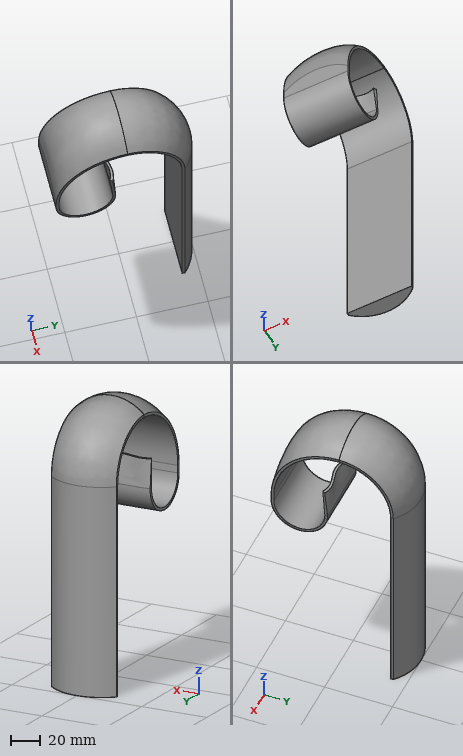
import cadquery as cq
import math

width = 50.0
half_width = width / 2
diagonal_factor = math.sqrt(0.5)
edge_thickness = 2.0
crown_height = 10.0
leg_height = 150.0
bend_radius = 50.0
edge_radius = bend_radius - crown_height
inner_radius = edge_radius - edge_thickness

front_inner_radius = bend_radius - edge_thickness
front_center_z = leg_height - crown_height
curl_radius = 20.8
curl_center_y = curl_radius - bend_radius
curl_center_z = 134.5
curl_end_y = curl_center_y + curl_radius

lip_height = 20.8
lip_edge_setback = 2.0
lip_crest_setback = 0.2
lip_middle_setback = 3.2
lip_crest_x = 18.0
lip_end_inset = 1.2


def crowned_section(inner_y):
    """Strap section on XY: flat inside, straight edges and an arched outside."""
    edge_y = inner_y + edge_thickness
    return (
        cq.Workplane("XY", origin=(0, 0, leg_height))
        .moveTo(-half_width, inner_y)
        .lineTo(half_width, inner_y)
        .lineTo(half_width, edge_y)
        .threePointArc((0, edge_y + crown_height), (-half_width, edge_y))
        .close()
    )


def make_leg():
    """Straight crowned leg with a quarter bend at its top."""
    straight = crowned_section(inner_radius).extrude(-leg_height)
    bend = crowned_section(inner_radius).revolve(90, (0, 0, 0), (1, 0, 0))
    return straight.union(bend)


def make_arch():
    """Crowned quarter arch that thins to a flat strip at the front."""
    diagonal = bend_radius * diagonal_factor
    path = (
        cq.Workplane("YZ")
        .moveTo(0, leg_height + bend_radius)
        .threePointArc((-diagonal, leg_height + diagonal), (-bend_radius, leg_height))
    )
    edge_top_z = leg_height + edge_radius
    block = (
        cq.Workplane("XZ")
        .moveTo(-half_width, edge_top_z)
        .threePointArc((0, edge_top_z + crown_height), (half_width, edge_top_z))
        .lineTo(half_width, curl_center_z)
        .lineTo(-half_width, curl_center_z)
        .close()
        .sweep(path, normal=(0, 1, 0))
    )
    inner_diagonal = front_inner_radius * diagonal_factor
    lowest_z = curl_center_z - bend_radius
    hollow = (
        cq.Workplane("YZ", origin=(-half_width, 0, 0))
        .moveTo(0, front_center_z + front_inner_radius)
        .threePointArc(
            (-inner_diagonal, front_center_z + inner_diagonal),
            (-front_inner_radius, front_center_z),
        )
        .lineTo(-front_inner_radius, lowest_z)
        .lineTo(0, lowest_z)
        .close()
        .extrude(width)
    )
    below_arch = cq.Workplane("XY", origin=(0, 0, lowest_z)).box(
        width, 2 * bend_radius, curl_center_z - lowest_z, centered=(True, True, False)
    )
    return block.cut(hollow).cut(below_arch)


def make_curl():
    """Half-round flat strip that curls back up inside the hook."""
    curl_inner_radius = curl_radius - edge_thickness
    return (
        cq.Workplane("YZ", origin=(-half_width, curl_center_y, curl_center_z))
        .moveTo(-curl_radius, 0)
        .threePointArc((0, -curl_radius), (curl_radius, 0))
        .lineTo(curl_inner_radius, 0)
        .threePointArc((0, -curl_inner_radius), (-curl_inner_radius, 0))
        .close()
        .extrude(width)
    )


def lip_section(z, edge_setback, crest_setback, middle_setback, end_inset):
    """Closed wire across the strap with the given setbacks from the curl end."""

    def long_side(offset, inset):
        profile = [
            (inset - half_width, edge_setback),
            (-lip_crest_x, crest_setback),
            (0, middle_setback),
            (lip_crest_x, crest_setback),
            (half_width - inset, edge_setback),
        ]
        points = [cq.Vector(x, curl_end_y - setback - offset, z) for x, setback in profile]
        return cq.Edge.makeSpline(points)

    outside = long_side(0, 0)
    inside = long_side(edge_thickness, end_inset)
    left_end = cq.Edge.makeLine(outside.startPoint(), inside.startPoint())
    right_end = cq.Edge.makeLine(outside.endPoint(), inside.endPoint())
    return cq.Wire.assembleEdges([outside, right_end, inside, left_end])


def make_lip():
    """Lip that changes from the straight curl end to a wavy free edge."""
    straight_end = lip_section(curl_center_z, 0, 0, 0, 0)
    wavy_end = lip_section(
        curl_center_z + lip_height,
        lip_edge_setback,
        lip_crest_setback,
        lip_middle_setback,
        lip_end_inset,
    )
    return cq.Workplane(cq.Solid.makeLoft([straight_end, wavy_end], True))


def make_hook():
    """Arch, curl and lip as one continuous hook."""
    return make_arch().union(make_curl()).union(make_lip())


leg = make_leg()
hook = make_hook()

result = cq.Compound.makeCompound([leg.solids().val(), hook.solids().val()])